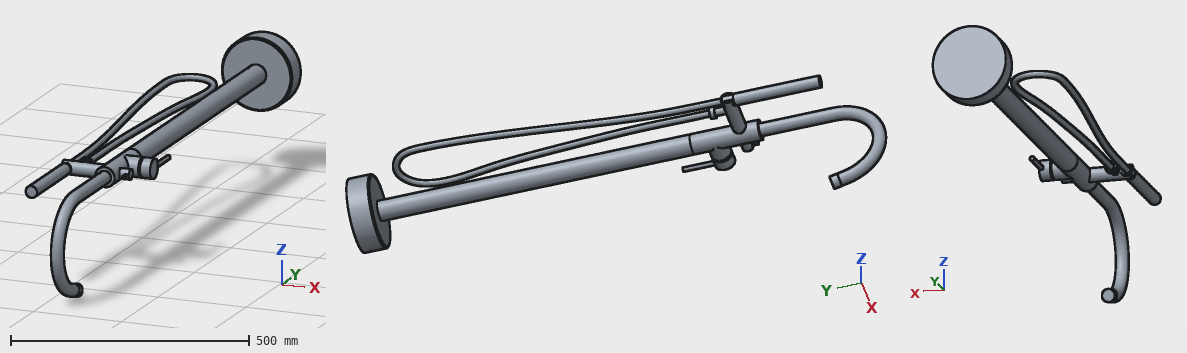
import cadquery as cq
import math


flange_radius = 80.0
flange_thickness = 50.0
flange_edge_chamfer = 3.0
column_radius = 22.0
column_end = 735.0

valve_end = 884.0

spout_radius = 14.0
overall_length = 1158.87
bend_radius = 100.0
bend_angle = 165.0
bend_start = overall_length - bend_radius - spout_radius
outlet_collar_length = 14.0
outlet_tip_length = 17.7
outlet_tip_radius = spout_radius + 0.2

arm_radius = 15.0
arm_offset = 844.0
arm_reach = 109.5

knob_radius = 11.5
knob_reach = 42.5
knob_pin_radius = 3.0
knob_pin_x = 36.0
knob_pin_end = arm_offset + 25.0

handle_offset = 785.5
handle_radius = column_radius
handle_joint_x = 44.0
handle_reach = 71.0
joint_groove_width = 3.0
joint_groove_depth = 2.5
lever_radius = 5.0
lever_tip = 695.0

shower_radius = 13.0
shower_x = -100.5
shower_top = 857.0
shower_end = bend_start
shank_radius = 12.0
shank_top = 832.0

hose_radius = 7.0
hose_x_min = -159.85
hose_left_x = hose_x_min + hose_radius
hose_loop_top = 118.5
hose_shower_x = -103.0
hose_outlet_x = -76.5
nut_radius = 12.5
nut_start = 797.0
nut_end = 808.0
arm_outlet_radius = 8.5


def cylinder_along(axis_direction, start, radius, length):
    """Cylinder from the start point along the given direction."""
    return cq.Workplane(cq.Solid.makeCylinder(radius, length, cq.Vector(*start), cq.Vector(*axis_direction)))


def along_column(radius, start, end, x=0.0):
    """Cylinder parallel to the column, between two distances from the flange base."""
    return cylinder_along((0, -1, 0), (x, -start, 0), radius, end - start)


def make_column():
    flange = along_column(flange_radius, 0, flange_thickness).faces("<Y").chamfer(flange_edge_chamfer)
    return flange.union(along_column(column_radius, 0, column_end))


def make_spout():
    angle = math.radians(bend_angle)
    half_angle = angle / 2

    def bend_point(turn):
        return (-bend_start - bend_radius * math.sin(turn), -bend_radius * (1 - math.cos(turn)))

    outlet_direction = (-math.cos(angle), -math.sin(angle))
    bend_end = bend_point(angle)
    collar_end = (
        bend_end[0] + outlet_collar_length * outlet_direction[0],
        bend_end[1] + outlet_collar_length * outlet_direction[1],
    )
    path = (
        cq.Workplane("YZ")
        .moveTo(-valve_end, 0)
        .lineTo(-bend_start, 0)
        .threePointArc(bend_point(half_angle), bend_end)
        .lineTo(*collar_end)
    )
    pipe = cq.Workplane("XZ", origin=(0, -valve_end, 0)).circle(spout_radius).sweep(path)
    tip = cylinder_along((0, *outlet_direction), (0, *collar_end), outlet_tip_radius, outlet_tip_length)
    return pipe.union(tip)


def make_knob():
    knob = cylinder_along((1, 0, 0), (0, -arm_offset, 0), knob_radius, knob_reach)
    return knob.union(along_column(knob_pin_radius, arm_offset, knob_pin_end, knob_pin_x))


def make_valve():
    barrel = along_column(column_radius, column_end, valve_end)
    handle_seat = cylinder_along((1, 0, 0), (0, -handle_offset, 0), handle_radius, handle_joint_x)
    arm = cylinder_along((-1, 0, 0), (0, -arm_offset, 0), arm_radius, arm_reach)
    arm_outlet = along_column(arm_outlet_radius, nut_end, arm_offset, hose_outlet_x)
    holder = arm.union(arm_outlet)
    return barrel.union(handle_seat).union(holder).union(make_knob()).union(make_spout())


def make_handle():
    cap_start = handle_joint_x + joint_groove_width
    neck = cylinder_along(
        (1, 0, 0),
        (handle_joint_x, -handle_offset, 0),
        handle_radius - joint_groove_depth,
        joint_groove_width,
    )
    cap = cylinder_along((1, 0, 0), (cap_start, -handle_offset, 0), handle_radius, handle_reach - cap_start)
    lever = along_column(lever_radius, lever_tip, handle_offset, handle_reach - lever_radius)
    return neck.union(cap).union(lever)


def make_hose():
    loop_points = [
        (hose_shower_x, -arm_offset),
        (-105, -700),
        (-125, -500),
        (-145, -330),
        (hose_left_x, -188),
        (-143, -139),
        (-105, -hose_loop_top),
        (-63, -141),
        (-45, -195),
        (-55, -302),
        (-69.5, -470),
        (hose_outlet_x, -620),
        (hose_outlet_x, -nut_end),
    ]
    path = cq.Workplane("XY").spline(loop_points, tangents=[(0, 1), (0, -1)])
    tube = cq.Workplane("XZ", origin=(hose_shower_x, -arm_offset, 0)).circle(hose_radius).sweep(path)
    return tube.union(along_column(nut_radius, nut_start, nut_end, hose_outlet_x))


def make_hand_shower():
    grip = along_column(shower_radius, shower_top, shower_end, shower_x)
    shank = along_column(shank_radius, shank_top, shower_top, shower_x)
    return grip.union(shank).union(make_hose())


column = make_column()
hand_shower = make_hand_shower()
valve = make_valve().cut(hand_shower)
handle = make_handle()

result = cq.Compound.makeCompound([column.val(), valve.val(), handle.val(), hand_shower.val()])